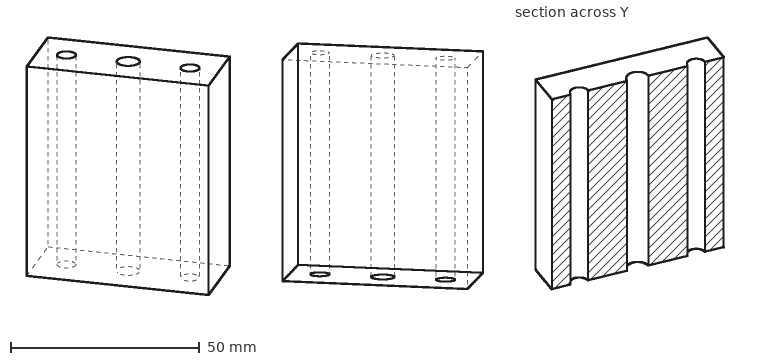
import cadquery as cq

width = 50.0
depth = 21.0
height = 60.0

centre_hole_diameter = 6.1
side_hole_diameter = 5.0
side_hole_offset = 17.0

block = cq.Workplane("XY").box(width, depth, height, centered=(True, True, False))

side_hole_places = [(-side_hole_offset, 0), (side_hole_offset, 0)]
result = (
    block.faces(">Z").workplane(origin=(0, 0, height))
    .hole(centre_hole_diameter)
    .faces(">Z").workplane(origin=(0, 0, height))
    .pushPoints(side_hole_places)
    .hole(side_hole_diameter)
)